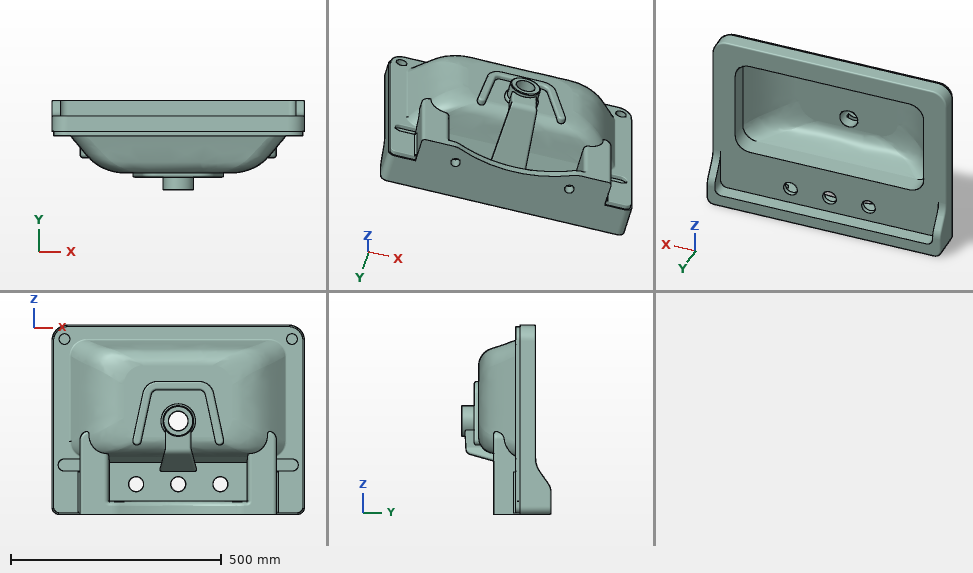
import cadquery as cq
import math

WIDTH = 600.0
LENGTH = 450.0
HEIGHT = 213.0
HALF_WIDTH = WIDTH / 2

RIM_TOP_Y = 176.5
STEP_Y = 139.5
RIM_BOTTOM_Y = 129.0
STEP_INSET = 4.0
FRONT_CORNER_R = 38.0
REAR_CORNER_R = 18.0
RIM_EDGE_R = 4.0
STEP_EDGE_R = 1.5
SLOPE_START_Z = 64.0
SLOPE_END_Z = 116.0
SLOPE_CREST_R = 34.0
SLOPE_FOOT_R = 53.0

BOWL_HALF_WIDTH = 255.5
BOWL_REAR_Z = 136.0
BOWL_FRONT_Z = 413.0
BOWL_FLOOR_Y = 41.0
BOWL_BASE_R = 4.0
BOWL_DEPTH = RIM_BOTTOM_Y - BOWL_FLOOR_Y
BOWL_CORNER_R = 38.0
BOWL_CORNER_GROWTH = 8.0
BOWL_STATIONS = 6
SIDE_SLOPE, SIDE_BLEND_R = 0.82, 116.0
FRONT_SLOPE, FRONT_BLEND_R = 0.33, 42.0
REAR_SLOPE, REAR_BLEND_R = 0.17, 38.0
BOWL_WALL = 14.0

REAR_WALL = 32.0
LANDING_HALF_WIDTH = 279.0
LANDING_CORNER_R = 17.0

BRACKET_HALF_WIDTH = 233.0
BRACKET_Y = 76.5
BRACKET_TOP_Z = 198.0
BRACKET_EDGE_R = 8.0
BRACKET_TOP_R = 20.0
BRACKET_BASE_R = 5.0
POCKET_HALF_WIDTH = 163.0
POCKET_FLOOR_Y = 165.0
POCKET_FLOOR_Z = 123.0
POCKET_MOUTH_Z = 152.0
POCKET_DRAFT = 2.0
POCKET_MOUTH_R = 10.0
ARCH_SPRING_X = 147.0
ARCH_DEPTH = 31.0
ARCH_END_R = 50.0

TAP_D, TAP_PITCH, TAP_Z = 35.0, 100.0, 72.0
FIXING_D, FIXING_X, FIXING_Y = 22.0, 140.0, 119.0
BLIND_D, BLIND_X, BLIND_Z, BLIND_DEPTH = 25.5, 270.0, 416.5, 25.0
SLOT_WIDTH, SLOT_CENTRE_Z, SLOT_END_X, SLOT_DEPTH = 28.0, 117.5, 285.0, 10.0
SLOT_MOUTH_R = 2.0

DRAIN_Z = 222.0
NOZZLE_D, NOZZLE_BORE_D, NOZZLE_COLLAR_D = 73.0, 46.0, 82.0
COLLAR_Y = 32.0
COLLAR_LAND = 0.1
NOZZLE_EDGE = 2.0
DUCT_HALF_WIDTH, DUCT_FOOT_HALF_WIDTH = 30.0, 45.0
DUCT_OUTER_Y, DUCT_BEND_Y = 7.0, 11.0
DUCT_FLARE_Z, DUCT_BEND_Z, DUCT_FOOT_Z = 158.0, 145.0, 102.0
DUCT_BEND_R = 15.0
DUCT_EDGE_R = 5.0
CHANNEL_HALF_WIDTH, CHANNEL_END_Z = 17.0, 170.0
CHANNEL_NEAR_Y, CHANNEL_FAR_Y = 14.0, 25.0

RIB_CREST_Y, RIB_WIDTH, RIB_EDGE_R = 30.5, 20.0, 5.0
RIB_FRONT_Z, RIB_END_Z = 306.0, 175.0
RIB_FRONT_X, RIB_END_X, RIB_BEND_R = 70.0, 98.0, 26.0


def at_y(y):
    """Workplane at height y, on which sketches read in X and Z and extrude toward -Y."""
    return cq.Workplane("XZ", origin=(0, y, 0))


def near(x, y, z):
    """Selector for whatever is centred on a point."""
    return cq.selectors.BoxSelector((x - 1, y - 1, z - 1), (x + 1, y + 1, z + 1))


def box(x0, x1, y0, y1, z0, z1):
    return cq.Workplane(cq.Solid.makeBox(x1 - x0, y1 - y0, z1 - z0, cq.Vector(x0, y0, z0)))


def rounded_plate(inset, y0, y1):
    """Plate with the outline of the part, drawn in by an inset on every side."""
    left = -HALF_WIDTH + inset
    plate = (at_y(y1).moveTo(left, inset).lineTo(-left, inset)
             .lineTo(-left, LENGTH - inset).lineTo(left, LENGTH - inset).close().extrude(y1 - y0))
    plate = plate.edges("|Y and >Z").fillet(FRONT_CORNER_R - inset)
    return plate.edges("|Y and <Z").fillet(REAR_CORNER_R - inset)


def make_rim():
    """Rim plate whose sides sweep up to the backsplash, on a slightly smaller lower step."""
    profile = (cq.Workplane("YZ", origin=(-HALF_WIDTH, 0, 0))
               .moveTo(STEP_Y, 0).lineTo(HEIGHT, 0).lineTo(HEIGHT, SLOPE_START_Z)
               .lineTo(RIM_TOP_Y, SLOPE_END_Z).lineTo(RIM_TOP_Y, LENGTH).lineTo(STEP_Y, LENGTH)
               .close().extrude(WIDTH))
    profile = profile.edges(near(0, HEIGHT, SLOPE_START_Z)).fillet(SLOPE_CREST_R)
    profile = profile.edges(near(0, RIM_TOP_Y, SLOPE_END_Z)).fillet(SLOPE_FOOT_R)
    upper = profile.intersect(rounded_plate(0, STEP_Y, HEIGHT))
    upper = upper.faces(">Z").edges(">Y").fillet(RIM_EDGE_R)
    lower = rounded_plate(STEP_INSET, RIM_BOTTOM_Y, STEP_Y).faces("<Y").edges().fillet(STEP_EDGE_R)
    return upper.union(lower)


def blend_inset(depth, floor_depth, slope, radius):
    """Inset of a sloping wall at a depth, where an arc joins the wall to a flat floor."""
    angle = math.atan(slope)
    arc_centre_depth = floor_depth - radius
    arc_centre_inset = (radius + math.sin(angle) * arc_centre_depth) / math.cos(angle)
    if depth <= arc_centre_depth + radius * math.sin(angle):
        return depth * slope
    return arc_centre_inset - math.sqrt(radius ** 2 - (depth - arc_centre_depth) ** 2)


def bowl_section(wall, depth):
    """Rounded rectangle of the bowl at a depth below the rim, drawn in by a wall thickness on every side."""
    floor_depth = BOWL_DEPTH - wall
    half_width = BOWL_HALF_WIDTH - wall - blend_inset(depth, floor_depth, SIDE_SLOPE, SIDE_BLEND_R)
    front_z = BOWL_FRONT_Z - wall - blend_inset(depth, floor_depth, FRONT_SLOPE, FRONT_BLEND_R)
    rear_z = BOWL_REAR_Z + wall + blend_inset(depth, floor_depth, REAR_SLOPE, REAR_BLEND_R)
    corner_radius = BOWL_CORNER_R + BOWL_CORNER_GROWTH * depth / floor_depth
    rectangle = (at_y(RIM_BOTTOM_Y - depth).center(0, (front_z + rear_z) / 2)
                 .rect(2 * half_width, front_z - rear_z).val())
    return rectangle.fillet2D(corner_radius, rectangle.Vertices())


def make_bowl(wall):
    """Bowl lofted through sections that crowd together toward the floor, where the blends flatten out."""
    sections = []
    for i in range(BOWL_STATIONS + 1):
        depth = (BOWL_DEPTH - wall) * math.sin(math.pi / 2 * i / BOWL_STATIONS)
        sections.append(bowl_section(wall, depth))
    return cq.Workplane(cq.Solid.makeLoft(sections))


def make_bracket():
    """Solid block behind the bowl with rounded outer edges."""
    block = box(-BRACKET_HALF_WIDTH, BRACKET_HALF_WIDTH, BRACKET_Y, STEP_Y, 0, BRACKET_TOP_Z)
    block = block.edges("|Y and >Z").fillet(BRACKET_TOP_R)
    return block.faces("<Y").edges("not(<Z)").fillet(BRACKET_EDGE_R)


def make_pocket():
    """Pocket drafted open toward its mouth, under a roof that rises toward the mouth."""
    pocket = (at_y(POCKET_FLOOR_Y).center(0, (REAR_WALL + BRACKET_TOP_Z) / 2)
              .rect(2 * POCKET_HALF_WIDTH, BRACKET_TOP_Z - REAR_WALL)
              .extrude(POCKET_FLOOR_Y - BRACKET_Y, taper=-POCKET_DRAFT))
    roof = (cq.Workplane("YZ", origin=(-HALF_WIDTH, 0, 0))
            .moveTo(BRACKET_Y, 0).lineTo(POCKET_FLOOR_Y, 0).lineTo(POCKET_FLOOR_Y, POCKET_FLOOR_Z)
            .lineTo(BRACKET_Y, POCKET_MOUTH_Z).close().extrude(WIDTH))
    return pocket.intersect(roof)


def make_arch():
    """Curved relief across the underside of the bracket, running out smoothly at both ends."""
    crown_y = BRACKET_Y + ARCH_DEPTH
    block = (cq.Workplane("XY").moveTo(-BRACKET_HALF_WIDTH, BRACKET_Y).lineTo(-ARCH_SPRING_X, BRACKET_Y)
             .threePointArc((0, crown_y), (ARCH_SPRING_X, BRACKET_Y)).lineTo(BRACKET_HALF_WIDTH, BRACKET_Y)
             .lineTo(BRACKET_HALF_WIDTH, 0).lineTo(-BRACKET_HALF_WIDTH, 0).close().extrude(REAR_WALL))
    left_spring = near(-ARCH_SPRING_X, BRACKET_Y, REAR_WALL / 2)
    right_spring = near(ARCH_SPRING_X, BRACKET_Y, REAR_WALL / 2)
    return block.edges(left_spring + right_spring).fillet(ARCH_END_R)


def round_pocket_mouth(body):
    """Round the edges where the pocket opens through the bracket face and the arch."""
    reach_x = POCKET_HALF_WIDTH + POCKET_MOUTH_R
    mouth = cq.selectors.BoxSelector((-reach_x, BRACKET_Y - 1, REAR_WALL / 2 + 1),
                                     (reach_x, BRACKET_Y + ARCH_DEPTH + 1, POCKET_FLOOR_Z))
    return body.edges(mouth).fillet(POCKET_MOUTH_R)


def make_bracket_base():
    """Concave blends where the bracket flanks meet the rim underside."""
    toe_x = BRACKET_HALF_WIDTH + BRACKET_BASE_R
    crest_y = RIM_BOTTOM_Y - BRACKET_BASE_R
    blend = (cq.Workplane("XY", origin=(0, 0, STEP_INSET)).moveTo(BRACKET_HALF_WIDTH, crest_y)
             .radiusArc((toe_x, RIM_BOTTOM_Y), -BRACKET_BASE_R).lineTo(BRACKET_HALF_WIDTH, RIM_BOTTOM_Y)
             .close().extrude(SLOT_CENTRE_Z - SLOT_WIDTH / 2 - SLOT_MOUTH_R - STEP_INSET))
    return blend.union(blend.mirror("YZ"))


def make_rear(pocket):
    """Rim plate with the hollowed and arched bracket."""
    rear = make_rim().union(make_bracket()).cut(make_arch()).cut(pocket)
    return round_pocket_mouth(rear).union(make_bracket_base())


def make_shell(pocket):
    """Rim plate with the solid bowl blended into its underside, cleared where the pocket passes."""
    bowl = make_bowl(0)
    shell = make_rim().union(bowl)
    front_joint = near(0, RIM_BOTTOM_Y, BOWL_FRONT_Z)
    shell = shell.edges(front_joint).fillet(BOWL_BASE_R)
    return shell.cut(pocket.cut(bowl))


def make_nozzle():
    """Drain nozzle with a rounded collar at the bowl floor."""
    nozzle = at_y(RIM_BOTTOM_Y).center(0, DRAIN_Z).circle(NOZZLE_D / 2).extrude(RIM_BOTTOM_Y)
    nozzle = nozzle.faces("<Y").edges().chamfer(NOZZLE_EDGE)
    base_y = BOWL_FLOOR_Y + NOZZLE_EDGE
    collar = at_y(base_y).center(0, DRAIN_Z).circle(NOZZLE_COLLAR_D / 2).extrude(base_y - COLLAR_Y)
    collar = collar.faces("<Y").edges().fillet((NOZZLE_COLLAR_D - NOZZLE_D) / 2 - COLLAR_LAND)
    return nozzle.union(collar)


def make_duct():
    """Overflow duct running from the nozzle round the bowl and down into the pocket, where it flares."""
    side = (cq.Workplane("YZ", origin=(-DUCT_FOOT_HALF_WIDTH, 0, 0))
            .moveTo(DUCT_OUTER_Y, DRAIN_Z).lineTo(DUCT_BEND_Y, DUCT_BEND_Z)
            .lineTo(POCKET_FLOOR_Y, DUCT_FOOT_Z).lineTo(POCKET_FLOOR_Y, DRAIN_Z)
            .close().extrude(2 * DUCT_FOOT_HALF_WIDTH))
    front = (at_y(POCKET_FLOOR_Y).moveTo(-DUCT_FOOT_HALF_WIDTH, DUCT_FOOT_Z)
             .lineTo(DUCT_FOOT_HALF_WIDTH, DUCT_FOOT_Z).lineTo(DUCT_HALF_WIDTH, DUCT_FLARE_Z)
             .lineTo(DUCT_HALF_WIDTH, DRAIN_Z).lineTo(-DUCT_HALF_WIDTH, DRAIN_Z)
             .lineTo(-DUCT_HALF_WIDTH, DUCT_FLARE_Z).close().extrude(POCKET_FLOOR_Y))
    duct = side.edges(near(0, DUCT_BEND_Y, DUCT_BEND_Z)).fillet(DUCT_BEND_R).intersect(front)
    outer_face = cq.selectors.BoxSelector((-DUCT_FOOT_HALF_WIDTH, 0, DUCT_FOOT_Z - 1),
                                          (DUCT_FOOT_HALF_WIDTH, POCKET_FLOOR_Y - 1, DRAIN_Z - 1))
    return duct.edges(outer_face).edges("not(|X)").edges("not(|Y)").fillet(DUCT_EDGE_R)


def make_rib():
    """U-shaped rib standing on the bowl floor around the drain, open toward the wall."""
    base_y = BOWL_FLOOR_Y + RIB_EDGE_R
    path = (at_y(base_y).moveTo(-RIB_END_X, RIB_END_Z).lineTo(-RIB_FRONT_X, RIB_FRONT_Z)
            .lineTo(RIB_FRONT_X, RIB_FRONT_Z).lineTo(RIB_END_X, RIB_END_Z).wire().val())
    bends = [v for v in path.Vertices() if v.Z > RIB_END_Z + 1]
    outline = at_y(base_y).newObject([path.fillet(RIB_BEND_R, bends)]).toPending().offset2D(RIB_WIDTH / 2)
    return outline.extrude(base_y - RIB_CREST_Y).faces("<Y").edges().fillet(RIB_EDGE_R)


def make_landing():
    """Open recess for the taps between the backsplash and the bowl."""
    landing = box(-LANDING_HALF_WIDTH, LANDING_HALF_WIDTH, RIM_TOP_Y, HEIGHT, REAR_WALL, LENGTH)
    return landing.edges("|Y and <Z").fillet(LANDING_CORNER_R)


def make_bowl_mouth():
    """Straight opening from the bowl cavity up through the rim."""
    height = cq.Vector(0, HEIGHT - RIM_BOTTOM_Y, 0)
    return cq.Workplane(cq.Solid.extrudeLinear(bowl_section(BOWL_WALL, 0), [], height))


def holes_along_y(diameter, points, y0, y1):
    return at_y(y1).pushPoints(points).circle(diameter / 2).extrude(y1 - y0)


def make_holes():
    """Tap holes, drain bore, blind holes in the front corners and fixing holes through the rear wall."""
    taps = holes_along_y(TAP_D, [(i * TAP_PITCH, TAP_Z) for i in (-1, 0, 1)], 0, HEIGHT)
    drain = holes_along_y(NOZZLE_BORE_D, [(0, DRAIN_Z)], 0, RIM_BOTTOM_Y)
    blind = holes_along_y(BLIND_D, [(-BLIND_X, BLIND_Z), (BLIND_X, BLIND_Z)],
                          RIM_BOTTOM_Y, RIM_BOTTOM_Y + BLIND_DEPTH)
    fixings = (cq.Workplane("XY").pushPoints([(-FIXING_X, FIXING_Y), (FIXING_X, FIXING_Y)])
               .circle(FIXING_D / 2).extrude(REAR_WALL))
    return taps.union(drain).union(blind).union(fixings)


def make_slots():
    """Round-ended grooves in the rim underside, running out from the bracket flanks."""
    length = 2 * (SLOT_END_X - BRACKET_HALF_WIDTH)
    slots = (at_y(RIM_BOTTOM_Y + SLOT_DEPTH)
             .pushPoints([(-BRACKET_HALF_WIDTH, SLOT_CENTRE_Z), (BRACKET_HALF_WIDTH, SLOT_CENTRE_Z)])
             .slot2D(length, SLOT_WIDTH).extrude(SLOT_DEPTH))
    return slots.cut(box(-BRACKET_HALF_WIDTH, BRACKET_HALF_WIDTH, 0, HEIGHT, 0, LENGTH))


def round_slot_mouths(body):
    """Round the slot edges at the rim underside, picked by the centroids of their half-round ends."""
    end_centroid_x = SLOT_END_X - SLOT_WIDTH / 2 + SLOT_WIDTH / math.pi
    left_end = near(-end_centroid_x, RIM_BOTTOM_Y, SLOT_CENTRE_Z)
    right_end = near(end_centroid_x, RIM_BOTTOM_Y, SLOT_CENTRE_Z)
    return body.edges(left_end + right_end).fillet(SLOT_MOUTH_R)


def make_channel():
    """Overflow channel inside the duct, opening into the drain bore."""
    return box(-CHANNEL_HALF_WIDTH, CHANNEL_HALF_WIDTH, CHANNEL_NEAR_Y, CHANNEL_FAR_Y, CHANNEL_END_Z, DRAIN_Z)


pocket = make_pocket()
body = make_rear(pocket).union(make_shell(pocket))
body = body.union(make_duct()).union(make_nozzle()).union(make_rib())
body = body.cut(make_landing()).cut(make_bowl_mouth()).cut(make_bowl(BOWL_WALL))
body = body.cut(make_holes()).cut(make_slots()).cut(make_channel())
result = round_slot_mouths(body)